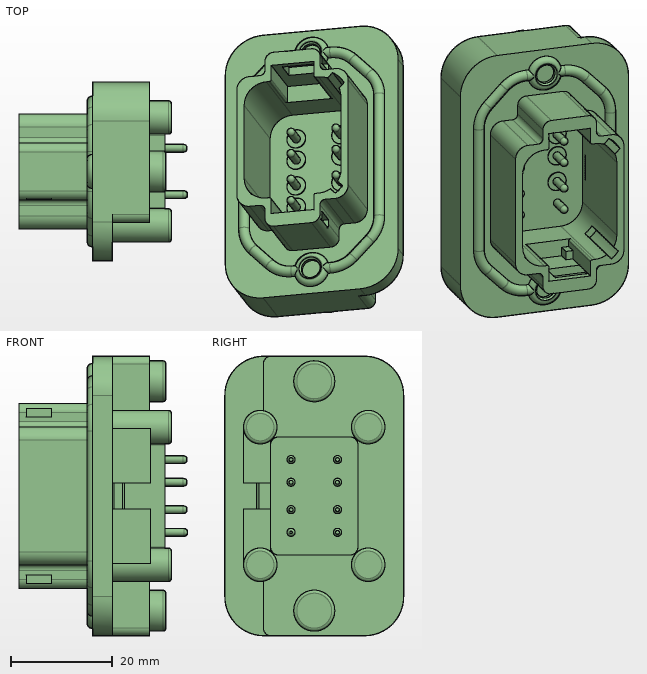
import cadquery as cq
import math

HEIGHT = 55.1
WIDTH = 35.3

FLANGE_BACK = 3.9
FLANGE_CORNER = 7.7
HOUSING_BACK = 11.25
HOUSING_SIDE = -10.05
HOUSING_CORNER = 1.55
CORE_BACK = 14.3
CORE_HALF_Y = 8.6
CORE_HALF_Z = 11.65

SHROUD_FRONT = -14.55
SHROUD_HALF_Y = 11.35
SHROUD_HALF_Z = 13.6
SHROUD_CORNER = 2.6
KEYWAY_HALF_Y = 5.6
KEYWAY_HALF_Z = 18.25
KEYWAY_CORNER = 1.75
KEYWAY_ROOT = 1.05
CAVITY_HALF_Y = 9.85
CAVITY_HALF_Z = 12.2
CAVITY_CORNER = 4.5
CAVITY_FLOOR = 5.25
CHANNEL_HALF_Y = 4.35
CHANNEL_HALF_Z = 15.55
CHANNEL_FLOOR = -2.0
CHANNEL_ROUND = 0.4

WINDOW_START = -13.05
WINDOW_LENGTH = 4.95
WINDOW_DEPTH = 1.65
WINDOW_INNER_Y = 2.5

GROOVE_DEPTH = 1.4
GROOVE_WIDTHS = {1: 3.3, -1: 2.05}
RIB_FRONT = -4.4
RIB_WIDTH = 1.5
RIB_HEIGHT = 1.75

BEAD_RADIUS = 1.1
BEAD_HALF_Y = 13.8
BEAD_HALF_Z = 22.6
BEAD_CHAMFER = 7.15
BEAD_BEND = 6.4
RING_RADIUS = 2.4
RING_RIM = 0.15
RING_HOLE = 3.8

SCREW_BOSS_DIAMETER = 8.1
SCREW_BOSS_BACK = 14.45
POST_DIAMETER = 6.6
POST_BACK = 15.55
POST_Y = 10.65
POST_Z = 13.55
BOSS_ROUND = 0.6
BLOCK_BACK = 11.4
BLOCK_INNER_Z = 2.6
BLOCK_OUTER_Z = 13.3
LEDGE_FRONT = 4.25
LEDGE_BACK = 6.3
LEDGE_CHAMFER = 0.45

PIN_DIAMETER = 1.6
PIN_FRONT = 0.55
PIN_BACK = 18.6
LONG_PIN_BACK = 18.75
PIN_TIP_LENGTH = 0.75
PIN_FLAT = 0.75
LONG_PIN_FLAT = 0.5
PIN_Y = 4.6
PIN_ROWS = (-7.15, -2.7, 2.7, 7.15)
SOCKET_DIAMETER = 3.8
SOCKET_DEPTH = 0.2


def box(x_range, y_range, z_range):
    lows, highs = zip(*(sorted(r) for r in (x_range, y_range, z_range)))
    size = [high - low for low, high in zip(lows, highs)]
    return cq.Workplane("XY").box(*size, centered=False).translate(lows)


def bar(x_start, x_end, half_y, half_z, corner=None):
    """Rectangular bar along X, centred on the mating axis, with rounded long edges."""
    body = box((x_start, x_end), (-half_y, half_y), (-half_z, half_z))
    return body.edges("|X").fillet(corner) if corner else body


def rod(x_start, x_end, y, z, diameter):
    plane = cq.Workplane("YZ", origin=(x_start, y, z))
    return plane.circle(diameter / 2).extrude(x_end - x_start)


def make_flange_and_housing():
    flange = bar(0, FLANGE_BACK, WIDTH / 2, HEIGHT / 2, FLANGE_CORNER)
    outline = bar(FLANGE_BACK, HOUSING_BACK, WIDTH / 2, HEIGHT / 2, FLANGE_CORNER)
    trim = box((FLANGE_BACK, HOUSING_BACK), (HOUSING_SIDE, WIDTH / 2), (-HEIGHT / 2, HEIGHT / 2))
    housing = outline.intersect(trim).edges("|X and <Y").fillet(HOUSING_CORNER)
    return flange.union(housing)


def add_core_and_side_blocks(body):
    """Inner core, the two blocks on the -Y side, and the gap between them that bares the cavity wall."""
    outer_y = -(POST_Y + POST_DIAMETER / 2)
    gap_z = (-BLOCK_INNER_Z, BLOCK_INNER_Z)
    for side in (1, -1):
        z_range = (side * BLOCK_INNER_Z, side * BLOCK_OUTER_Z)
        body = body.union(box((FLANGE_BACK, BLOCK_BACK), (outer_y, -CORE_HALF_Y), z_range))
    body = body.cut(box((LEDGE_FRONT, BLOCK_BACK), (outer_y, -CORE_HALF_Y), gap_z))
    body = body.union(bar(FLANGE_BACK, CORE_BACK, CORE_HALF_Y, CORE_HALF_Z, HOUSING_CORNER))
    ledge = box((LEDGE_FRONT, LEDGE_BACK), (-SHROUD_HALF_Y, -CORE_HALF_Y), gap_z)
    return body.union(ledge.edges("<Y and >X").chamfer(LEDGE_CHAMFER))


def add_bosses(body):
    for z in (BEAD_HALF_Z, -BEAD_HALF_Z):
        boss = rod(FLANGE_BACK, SCREW_BOSS_BACK, 0, z, SCREW_BOSS_DIAMETER)
        body = body.union(boss.faces(">X").edges().fillet(BOSS_ROUND))
    for y in (POST_Y, -POST_Y):
        for z in (POST_Z, -POST_Z):
            post = rod(FLANGE_BACK, POST_BACK, y, z, POST_DIAMETER)
            body = body.union(post.faces(">X").edges().fillet(BOSS_ROUND))
    return body


def make_shroud():
    main = bar(SHROUD_FRONT, 0, SHROUD_HALF_Y, SHROUD_HALF_Z, SHROUD_CORNER)
    keyway = bar(SHROUD_FRONT, 0, KEYWAY_HALF_Y, KEYWAY_HALF_Z, KEYWAY_CORNER)
    shroud = main.union(keyway)
    for y in (KEYWAY_HALF_Y, -KEYWAY_HALF_Y):
        for z in (SHROUD_HALF_Z, -SHROUD_HALF_Z):
            root = cq.selectors.NearestToPointSelector((SHROUD_FRONT / 2, y, z))
            shroud = shroud.edges("|X").edges(root).fillet(KEYWAY_ROOT)
    return shroud


def corner_groove(side):
    """Groove along the -Y cavity corner on the +Z or -Z side."""
    center_y = -(CAVITY_HALF_Y - CAVITY_CORNER)
    center_z = side * (CAVITY_HALF_Z - CAVITY_CORNER)
    reach = CAVITY_CORNER + GROOVE_DEPTH
    length = CHANNEL_FLOOR - SHROUD_FRONT
    groove = box((0, length), (-reach, 0), (-GROOVE_WIDTHS[side] / 2, GROOVE_WIDTHS[side] / 2))
    groove = groove.intersect(rod(0, length, 0, 0, 2 * reach))
    groove = groove.rotate((0, 0, 0), (1, 0, 0), -45 * side)
    return groove.translate((SHROUD_FRONT, center_y, center_z))


def cut_cavity(body):
    body = body.cut(bar(SHROUD_FRONT, CAVITY_FLOOR, CAVITY_HALF_Y, CAVITY_HALF_Z, CAVITY_CORNER))
    mouth_y = CHANNEL_HALF_Y + CHANNEL_ROUND
    for side in (1, -1):
        mouth_z = side * CAVITY_HALF_Z
        shoulder_z = side * (CAVITY_HALF_Z + CHANNEL_ROUND)
        top_z = side * CHANNEL_HALF_Z
        round_middle_y = mouth_y - CHANNEL_ROUND * math.sqrt(0.5)
        round_middle_z = side * (CAVITY_HALF_Z + CHANNEL_ROUND * (1 - math.sqrt(0.5)))
        channel = (
            cq.Workplane("YZ", origin=(SHROUD_FRONT, 0, 0))
            .moveTo(-mouth_y, 0)
            .lineTo(-mouth_y, mouth_z)
            .threePointArc((-round_middle_y, round_middle_z), (-CHANNEL_HALF_Y, shoulder_z))
            .lineTo(-CHANNEL_HALF_Y, top_z)
            .lineTo(CHANNEL_HALF_Y, top_z)
            .lineTo(CHANNEL_HALF_Y, shoulder_z)
            .threePointArc((round_middle_y, round_middle_z), (mouth_y, mouth_z))
            .lineTo(mouth_y, 0)
            .close()
            .extrude(CHANNEL_FLOOR - SHROUD_FRONT)
        )
        body = body.cut(channel)
        window_x = (WINDOW_START, WINDOW_START + WINDOW_LENGTH)
        window_z = (top_z, top_z + side * WINDOW_DEPTH)
        body = body.cut(box(window_x, (-KEYWAY_HALF_Y, WINDOW_INNER_Y), window_z))
        body = body.cut(corner_groove(side))
    rib_y = (-CHANNEL_HALF_Y, -CHANNEL_HALF_Y + RIB_WIDTH)
    rib_z = (-CHANNEL_HALF_Z, -CHANNEL_HALF_Z + RIB_HEIGHT)
    return body.union(box((RIB_FRONT, CHANNEL_FLOOR), rib_y, rib_z))


def add_seal(body):
    """Half-round bead around the flange face, with a ring around each screw position."""
    straight_y = BEAD_HALF_Y - BEAD_CHAMFER - BEAD_BEND * math.tan(math.pi / 8)
    straight_z = BEAD_HALF_Z - BEAD_CHAMFER - BEAD_BEND * math.tan(math.pi / 8)
    bend_long = BEAD_BEND * math.sin(math.pi / 4)
    bend_short = BEAD_BEND * (1 - math.cos(math.pi / 4))
    low_bend = (BEAD_HALF_Y - bend_short, straight_z + bend_long)
    high_bend = (straight_y + bend_long, BEAD_HALF_Z - bend_short)
    quarter = (
        cq.Workplane("YZ")
        .moveTo(BEAD_HALF_Y, 0)
        .lineTo(BEAD_HALF_Y, straight_z)
        .tangentArcPoint(low_bend, relative=False)
        .lineTo(*high_bend)
        .tangentArcPoint((straight_y, BEAD_HALF_Z), relative=False)
        .lineTo(0, BEAD_HALF_Z)
    )
    bead = cq.Workplane("XY", origin=(0, BEAD_HALF_Y, 0)).circle(BEAD_RADIUS).sweep(quarter)
    bead = bead.union(bead.mirror("XZ"))
    bead = bead.union(bead.mirror("XY"))
    hole_radius = RING_HOLE / 2
    slope = RING_RADIUS - RING_RIM - hole_radius
    ring = (
        cq.Workplane("XY")
        .moveTo(0, RING_RADIUS + BEAD_RADIUS)
        .radiusArc((-BEAD_RADIUS, RING_RADIUS), -BEAD_RADIUS)
        .lineTo(-BEAD_RADIUS, RING_RADIUS - RING_RIM)
        .lineTo(-BEAD_RADIUS + slope, hole_radius)
        .lineTo(0, hole_radius)
        .close()
        .revolve(360, (0, 0, 0), (1, 0, 0))
    )
    for z in (BEAD_HALF_Z, -BEAD_HALF_Z):
        bead = bead.cut(rod(-BEAD_RADIUS, 0, 0, z, 2 * RING_RADIUS))
        bead = bead.union(ring.translate((0, 0, z)))
    front = box((-BEAD_RADIUS, 0), (-WIDTH / 2, WIDTH / 2), (-HEIGHT / 2, HEIGHT / 2))
    return body.union(bead.intersect(front))


def pin(y, z, back, flat):
    """Contact with a hemispherical front end and a rounded back tip ending in a small flat."""
    radius = PIN_DIAMETER / 2
    profile = (
        cq.Workplane("XY")
        .moveTo(PIN_FRONT + radius, radius)
        .lineTo(back - PIN_TIP_LENGTH, radius)
        .tangentArcPoint((back, flat / 2), relative=False)
        .lineTo(back, 0)
        .lineTo(PIN_FRONT, 0)
        .radiusArc((PIN_FRONT + radius, radius), radius)
        .close()
    )
    return profile.revolve(360, (0, 0, 0), (1, 0, 0)).translate((0, y, z))


def add_contacts(body):
    for y in (PIN_Y, -PIN_Y):
        for z in PIN_ROWS:
            if y < 0 and z == PIN_ROWS[0]:
                body = body.union(pin(y, z, LONG_PIN_BACK, LONG_PIN_FLAT))
                continue
            body = body.cut(rod(CAVITY_FLOOR, CAVITY_FLOOR + SOCKET_DEPTH, y, z, SOCKET_DIAMETER))
            body = body.union(pin(y, z, PIN_BACK, PIN_FLAT))
    return body


result = make_flange_and_housing()
result = add_core_and_side_blocks(result)
result = add_bosses(result)
result = add_seal(result)
result = result.union(make_shroud())
result = cut_cavity(result)
result = add_contacts(result)